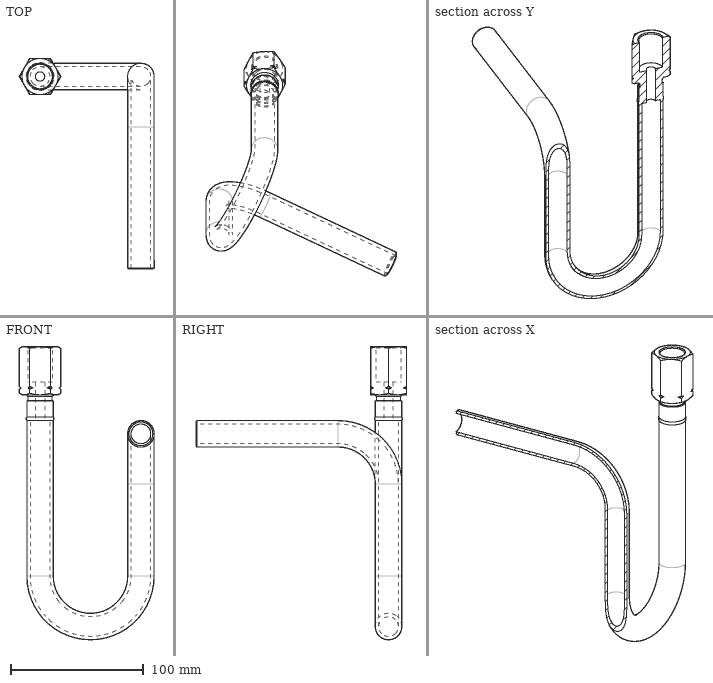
import cadquery as cq
import math

tube_dia = 20.0
bore_dia = 14.8
bend_radius = 38.0
leg_spacing = 2 * bend_radius
outlet_length = 107.0
outlet_axis_z = 155.0
end_chamfer_length = 0.7
end_chamfer_depth = 1.0

nut_flats = 27.1
nut_corners = nut_flats / math.cos(math.pi / 6)
nut_length = 36.2
nut_top_z = 220.5
nut_bottom_z = nut_top_z - nut_length
nut_face_dia = 27.1
groove_height = 5.3
groove_floor_dia = 29.1
groove_angle = 45
nut_chamfer_angle = 30
socket_dia = 18.5
socket_mouth_dia = 20.0
socket_depth = 26.5
passage_dia = 7.0
neck_dia = 18.3
neck_length = 4.2
collar_top_z = nut_bottom_z - neck_length
shoulder_height = 0.5
flare_dia = 21.0
flare_height = 1.3
weld_dia = 21.0
weld_top_z = 167.7
weld_height = 2.5
tube_top_z = weld_top_z - weld_height

u_bend_z = bend_radius + tube_dia / 2
elbow_start_z = outlet_axis_z - bend_radius
outlet_end_y = -(bend_radius + outlet_length)


def cylinder(diameter, bottom_z, top_z):
    """Vertical cylinder on the nut axis."""
    disc = cq.Workplane("XY").workplane(offset=bottom_z).circle(diameter / 2)
    return disc.extrude(top_z - bottom_z)


def tube_path():
    """Centre line: down the inlet leg, round the U, up, and out toward -Y."""
    half_chord = bend_radius * math.sin(math.pi / 4)
    u_bottom = (bend_radius, 0, u_bend_z - bend_radius)
    elbow_middle = (leg_spacing, half_chord - bend_radius, elbow_start_z + half_chord)
    points = [
        (0, 0, tube_top_z),
        (0, 0, u_bend_z),
        (leg_spacing, 0, u_bend_z),
        (leg_spacing, 0, elbow_start_z),
        (leg_spacing, -bend_radius, outlet_axis_z),
        (leg_spacing, outlet_end_y, outlet_axis_z),
    ]
    p = [cq.Vector(*point) for point in points]
    edges = [
        cq.Edge.makeLine(p[0], p[1]),
        cq.Edge.makeThreePointArc(p[1], cq.Vector(*u_bottom), p[2]),
        cq.Edge.makeLine(p[2], p[3]),
        cq.Edge.makeThreePointArc(p[3], cq.Vector(*elbow_middle), p[4]),
        cq.Edge.makeLine(p[4], p[5]),
    ]
    return cq.Workplane(cq.Wire.assembleEdges(edges))


def swept_round(diameter):
    """Solid round bar following the tube centre line."""
    start = cq.Workplane("XY").workplane(offset=tube_top_z).circle(diameter / 2)
    return start.sweep(tube_path())


def make_tube():
    radius = tube_dia / 2
    chamfer_ring = (
        cq.Workplane("XY", origin=(leg_spacing, outlet_end_y, outlet_axis_z))
        .moveTo(radius - end_chamfer_depth, 0)
        .lineTo(radius, end_chamfer_length)
        .lineTo(radius + end_chamfer_depth, end_chamfer_length)
        .lineTo(radius + end_chamfer_depth, 0)
        .close()
        .revolve(360, (0, 0, 0), (0, 1, 0))
    )
    outside = swept_round(tube_dia).cut(chamfer_ring)
    return outside.cut(swept_round(bore_dia))


def make_nut():
    """Hexagon with corners on X, its corners turned to a cone at both ends."""
    hexagon = cq.Workplane("XY").workplane(offset=nut_bottom_z).polygon(6, nut_corners)
    land_radius = nut_face_dia / 2
    rim_radius = nut_corners / 2 + 2.2
    drop = (rim_radius - land_radius) * math.tan(math.radians(nut_chamfer_angle))
    envelope = (
        cq.Workplane("XZ")
        .moveTo(0, nut_bottom_z)
        .lineTo(land_radius, nut_bottom_z)
        .lineTo(rim_radius, nut_bottom_z + drop)
        .lineTo(rim_radius, nut_top_z - drop)
        .lineTo(land_radius, nut_top_z)
        .lineTo(0, nut_top_z)
        .close()
        .revolve(360, (0, 0, 0), (0, 1, 0))
    )
    return hexagon.extrude(nut_length).intersect(envelope).cut(corner_groove())


def corner_groove():
    """V-shaped ring that notches the nut's corners near the lower end."""
    floor_radius = groove_floor_dia / 2
    rim_radius = nut_corners / 2 + 2.2
    half_width = (rim_radius - floor_radius) * math.tan(math.radians(groove_angle))
    centre_z = nut_bottom_z + groove_height
    return (
        cq.Workplane("XZ")
        .moveTo(floor_radius, centre_z)
        .lineTo(rim_radius, centre_z + half_width)
        .lineTo(rim_radius, centre_z - half_width)
        .close()
        .revolve(360, (0, 0, 0), (0, 1, 0))
    )


def make_stem():
    """Turned stem below the nut: flared neck, collar and rounded weld bead."""
    return (
        cq.Workplane("XZ")
        .moveTo(0, nut_bottom_z)
        .lineTo(flare_dia / 2, nut_bottom_z)
        .lineTo(neck_dia / 2, nut_bottom_z - flare_height)
        .lineTo(neck_dia / 2, collar_top_z)
        .lineTo(tube_dia / 2, collar_top_z - shoulder_height)
        .lineTo(tube_dia / 2, weld_top_z)
        .threePointArc((weld_dia / 2, weld_top_z - weld_height / 2), (tube_dia / 2, tube_top_z))
        .lineTo(0, tube_top_z)
        .close()
        .revolve(360, (0, 0, 0), (0, 1, 0))
    )


def make_fitting():
    """Nut and stem, with a chamfered socket and a narrow passage to the tube."""
    socket = cylinder(socket_dia, nut_top_z - socket_depth, nut_top_z)
    passage = cylinder(passage_dia, tube_top_z, nut_top_z)
    mouth_chamfer = (socket_mouth_dia - socket_dia) / 2
    mouth = cq.Workplane("XY").workplane(offset=nut_top_z).circle(socket_mouth_dia / 2)
    mouth = mouth.extrude(-mouth_chamfer, taper=45)
    return make_nut().union(make_stem()).cut(socket).cut(mouth).cut(passage)


result = make_tube().union(make_fitting())